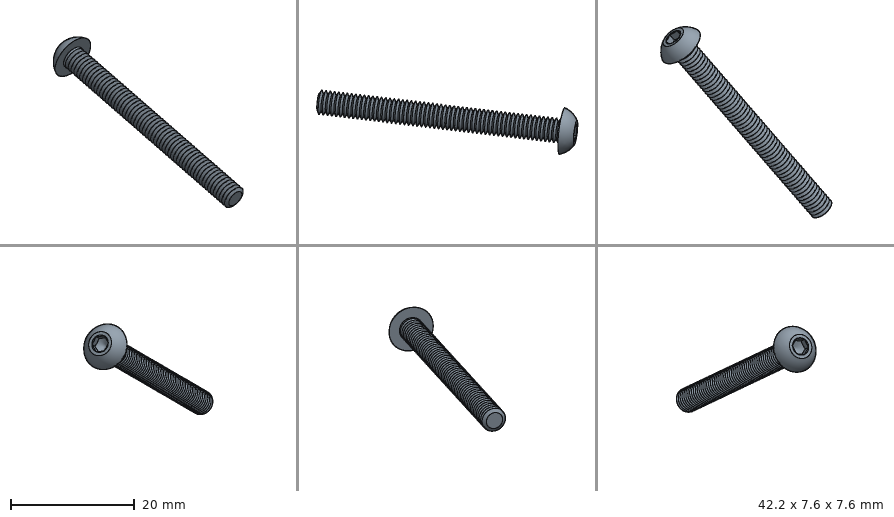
import cadquery as cq
import math

HEAD_DIAMETER = 7.6
HEAD_HEIGHT = 2.2
FACE_DIAMETER = 4.0
SHANK_LENGTH = 40.0

THREAD_DIAMETER = 4.0
PITCH = 0.7
FLANK_HALF_ANGLE = 30.0

HEX_SIDES = 6
SOCKET_FLATS = 2.5
SOCKET_DEPTH = 1.3
CONE_HALF_ANGLE = 60.0
MOUTH_HALF_ANGLE = 60.0

head_radius = HEAD_DIAMETER / 2
face_radius = FACE_DIAMETER / 2
thread_radius = THREAD_DIAMETER / 2
total_length = HEAD_HEIGHT + SHANK_LENGTH
half_pitch = PITCH / 2
root_radius = thread_radius - half_pitch / math.tan(math.radians(FLANK_HALF_ANGLE))

groove_count = math.floor((SHANK_LENGTH - half_pitch) / PITCH)
collar_length = SHANK_LENGTH - half_pitch - groove_count * PITCH
socket_corner_diameter = SOCKET_FLATS / math.cos(math.pi / HEX_SIDES)


def revolve_about_x(profile):
    """Turn a closed profile, drawn as (X, radius), about the X axis."""
    return profile.close().revolve(360, (0, 0, 0), (1, 0, 0))


def make_head():
    """Domed head: a zone of a sphere centred on the screw axis."""
    centre_x = (head_radius**2 + HEAD_HEIGHT**2 - face_radius**2) / (2 * HEAD_HEIGHT)
    dome_radius = math.hypot(centre_x, face_radius)
    middle_x = HEAD_HEIGHT / 2
    middle_radius = math.sqrt(dome_radius**2 - (centre_x - middle_x) ** 2)
    profile = (
        cq.Workplane("XY")
        .lineTo(0, face_radius)
        .threePointArc((middle_x, middle_radius), (HEAD_HEIGHT, head_radius))
        .lineTo(HEAD_HEIGHT, 0)
    )
    return revolve_about_x(profile)


def make_shank():
    """Shank with a plain collar, ring grooves at thread pitch and a tapered tip."""
    profile = cq.Workplane("XY").moveTo(HEAD_HEIGHT, 0).lineTo(HEAD_HEIGHT, thread_radius)
    crest_x = HEAD_HEIGHT + collar_length
    profile = profile.lineTo(crest_x, thread_radius)
    for _ in range(groove_count):
        profile = profile.lineTo(crest_x + half_pitch, root_radius)
        crest_x += PITCH
        profile = profile.lineTo(crest_x, thread_radius)
    profile = profile.lineTo(total_length, root_radius).lineTo(total_length, 0)
    return revolve_about_x(profile)


def make_cone(base_x, base_radius, half_angle):
    """Cone on the X axis, base at base_x and tip pointing to +X."""
    tip_x = base_x + base_radius / math.tan(math.radians(half_angle))
    profile = cq.Workplane("XY").moveTo(base_x, 0).lineTo(base_x, base_radius).lineTo(tip_x, 0)
    return revolve_about_x(profile)


def make_socket():
    """Hexagon socket with two corners on the Y axis."""
    corner_radius = socket_corner_diameter / 2
    drilled = cq.Workplane("YZ").circle(corner_radius).extrude(SOCKET_DEPTH)
    drilled = drilled.union(make_cone(SOCKET_DEPTH, corner_radius, CONE_HALF_ANGLE))
    hexagon = cq.Workplane("YZ").polygon(HEX_SIDES, socket_corner_diameter).extrude(2 * HEAD_HEIGHT)
    mouth = make_cone(0, corner_radius, MOUTH_HALF_ANGLE)
    return hexagon.intersect(drilled).union(mouth)


result = make_head().union(make_shank()).cut(make_socket())